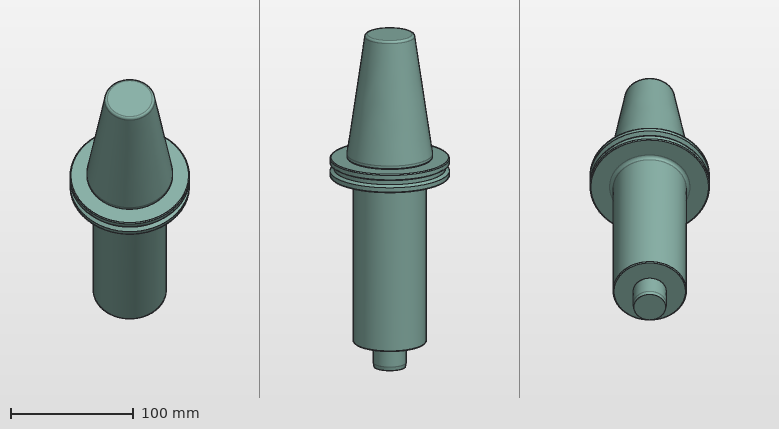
import cadquery as cq

total_length = 282.5
taper_length = 101.7
gauge_level = total_length - taper_length
collar_height = 3.0
flange_top = gauge_level - collar_height
flange_thickness = 15.8
flange_bottom = flange_top - flange_thickness
body_bottom = 21.2

pin_radius = 27.0 / 2
body_radius = 60.0 / 2
flange_radius = 97.5 / 2
groove_radius = 91.0 / 2
gauge_radius = 70.0 / 2
taper_slope = 7 / 24 / 2

flange_chamfer = 0.8
body_chamfer = 0.8
body_fillet = 2.8
pin_chamfer_height = 3.5
pin_chamfer_inset = 0.5
top_fillet = 2.3
relief_height = 0.8
relief_depth = 0.5

groove_level = flange_top - flange_thickness / 2
groove_floor_width = 3.5
groove_mouth_width = 6.8


def make_shank():
    """Pilot pin, cylindrical body, flange disc and steep taper, revolved as one profile."""
    top_radius = gauge_radius - taper_length * taper_slope
    profile = (
        cq.Workplane("XZ")
        .moveTo(0, 0)
        .lineTo(pin_radius - pin_chamfer_inset, 0)
        .lineTo(pin_radius, pin_chamfer_height)
        .lineTo(pin_radius, body_bottom)
        .lineTo(body_radius - body_chamfer, body_bottom)
        .lineTo(body_radius, body_bottom + body_chamfer)
        .lineTo(body_radius, flange_bottom - body_fillet)
        .radiusArc((body_radius + body_fillet, flange_bottom), body_fillet)
        .lineTo(flange_radius - flange_chamfer, flange_bottom)
        .lineTo(flange_radius, flange_bottom + flange_chamfer)
        .lineTo(flange_radius, flange_top - flange_chamfer)
        .lineTo(flange_radius - flange_chamfer, flange_top)
        .lineTo(gauge_radius - relief_depth, flange_top)
        .lineTo(gauge_radius, flange_top + relief_height)
        .lineTo(gauge_radius, gauge_level)
        .lineTo(top_radius, total_length)
        .lineTo(0, total_length)
        .close()
    )
    shank = profile.revolve(360, (0, 0, 0), (0, 1, 0))
    return shank.faces(">Z").edges().fillet(top_fillet)


def make_gripper_groove():
    """Ring with a trapezoidal section that cuts the groove around the flange."""
    half_mouth = groove_mouth_width / 2
    half_floor = groove_floor_width / 2
    section = cq.Workplane("XZ").polyline([
        (groove_radius, groove_level - half_floor),
        (flange_radius, groove_level - half_mouth),
        (flange_radius, groove_level + half_mouth),
        (groove_radius, groove_level + half_floor),
    ]).close()
    return section.revolve(360, (0, 0, 0), (0, 1, 0))


result = make_shank().cut(make_gripper_groove())